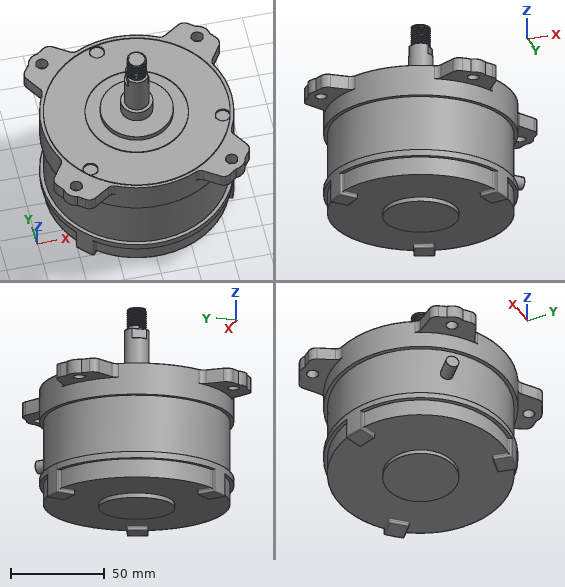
import cadquery as cq
import math

BODY_BOTTOM = 2.4
BAND_BOTTOM = 12.6
BAND_TOP = 16.1
HEAD_BOTTOM = 48.1
LUG_BOTTOM = 57.8
HEAD_TOP = 65.4
BOSS_TOP = 68.3
COLLAR_TOP = 75.1
FLATS_BOTTOM = 93.3
SHAFT_TOP = 98.6
THREAD_TOP = 110.5

BODY_RADIUS = 49.8
LOWER_RADIUS = 50.0
RECESS_RADIUS = 50.0
RIM_RADIUS = 51.9
REAR_BOSS_RADIUS = 20.3
BOSS_RADIUS = 19.6
COLLAR_RADIUS = 8.6
SHAFT_RADIUS = 6.6

RECESS_DEPTH = 0.5
PAD_RADIUS = 27.6
PIT_RADIUS = 4.0
PIT_DEPTH = 1.1
PIT_CENTRE_RADIUS = RECESS_RADIUS - PIT_RADIUS

LUG_ANGLES = (45, 135, 225, 315)
LUG_CORNER = (64.6, 12.3)
LUG_SIDE_SLOPE = math.radians(12)
LUG_TIP_SLOPE = math.radians(8)
LUG_ROOT = 44.2
LUG_CORNER_FILLET = 4.6
LUG_ROOT_FILLET = 3.8
LUG_HOLE_CENTRE = 60.1
LUG_HOLE_RADIUS = 3.2
LUG_BOSS_RADIUS = 7.2

FOOT_ANGLES = (105, 225, 345)
FOOT_WIDTH = 11.0
FOOT_INNER = 41.0
FOOT_EDGE_FILLET = 0.4
FOOT_ROOT_FILLET = 0.7

FLATS_WIDTH = 10.7
THREAD_RADIUS = 5.1
THREAD_LENGTH = 10.6
THREAD_TURNS = 8.5
THREAD_PITCH = THREAD_LENGTH / THREAD_TURNS
RUNOUT_TURNS = 3
THREAD_START_ANGLE = 180
THREAD_HALF_ANGLE = math.radians(30)
GROOVE_DEPTH_RATIO = 0.54
GROOVE_FLAT_RATIO = 0.25
GROOVE_OVERSHOOT = 0.05

MARGIN = 0.1

OUTLET_ANGLE = 45
OUTLET_RADIUS = 3.5
OUTLET_END = 61.0
OUTLET_HEIGHT = (BAND_TOP + HEAD_BOTTOM) / 2


def disc(radius, bottom, top):
    """Cylinder on the main axis."""
    return cq.Workplane("XY").workplane(offset=bottom).circle(radius).extrude(top - bottom)


def turn(shape, angle):
    """Rotate a shape about the main axis."""
    return shape.rotate((0, 0, 0), (0, 0, 1), angle)


def make_foot():
    """Radial foot along +X with a rounded outer face and softened edges."""
    length = RIM_RADIUS + MARGIN - FOOT_INNER
    block = (
        cq.Workplane("XY")
        .center(FOOT_INNER + length / 2, 0)
        .rect(length, FOOT_WIDTH)
        .extrude(BAND_TOP)
    )
    foot = block.intersect(disc(RIM_RADIUS, 0, BAND_TOP))
    return foot.edges("|Z or <Z").fillet(FOOT_EDGE_FILLET)


def make_lower_body():
    """Plain body below the head, with the feet blended into it."""
    body = disc(LOWER_RADIUS, BODY_BOTTOM, BAND_TOP)
    foot = make_foot()
    half_width = FOOT_WIDTH / 2 + MARGIN
    root_zone = cq.selectors.BoxSelector(
        (FOOT_INNER - MARGIN, -half_width, BODY_BOTTOM - MARGIN),
        (LOWER_RADIUS + MARGIN, half_width, BAND_TOP - MARGIN),
    )
    for angle in FOOT_ANGLES:
        footed = turn(body, -angle).union(foot)
        body = turn(footed.edges(root_zone).fillet(FOOT_ROOT_FILLET), angle)
    body = body.union(disc(RIM_RADIUS, BAND_BOTTOM, BAND_TOP))
    body = body.union(disc(BODY_RADIUS, BAND_TOP, HEAD_BOTTOM))
    return body.union(disc(REAR_BOSS_RADIUS, 0, BODY_BOTTOM))


def make_lug_plate():
    """Plate with four lugs, joined to the rim by concave fillets."""
    corner_x, corner_y = LUG_CORNER
    root_y = corner_y + (corner_x - LUG_ROOT) * math.tan(LUG_SIDE_SLOPE)
    tip_x = corner_x + corner_y * math.tan(LUG_TIP_SLOPE)
    outline = [
        (0, -root_y),
        (LUG_ROOT, -root_y),
        (corner_x, -corner_y),
        (tip_x, 0),
        (corner_x, corner_y),
        (LUG_ROOT, root_y),
        (0, root_y),
    ]
    thickness = HEAD_TOP - LUG_BOTTOM
    base = cq.Workplane("XY").workplane(offset=LUG_BOTTOM)
    lug = base.polyline(outline).close().extrude(thickness)
    corner_zone = cq.selectors.BoxSelector(
        (corner_x - MARGIN, -corner_y - MARGIN, LUG_BOTTOM),
        (corner_x + MARGIN, corner_y + MARGIN, HEAD_TOP),
    )
    lug = lug.edges(corner_zone).fillet(LUG_CORNER_FILLET)
    lug = lug.union(base.center(LUG_HOLE_CENTRE, 0).circle(LUG_BOSS_RADIUS).extrude(thickness))
    hole = base.center(LUG_HOLE_CENTRE, 0).circle(LUG_HOLE_RADIUS).extrude(thickness)

    plate = disc(RIM_RADIUS, LUG_BOTTOM, HEAD_TOP)
    root_zone = cq.selectors.BoxSelector(
        (LUG_ROOT, -root_y, LUG_BOTTOM),
        (RIM_RADIUS, root_y, HEAD_TOP),
    )
    for angle in LUG_ANGLES:
        lugged = turn(plate, -angle).union(lug)
        lugged = lugged.edges("|Z").edges(root_zone).fillet(LUG_ROOT_FILLET)
        plate = turn(lugged.cut(hole), angle)
    return plate


def make_head():
    """Rim and lug plate, recessed on top around a raised pad, with three pits."""
    head = make_lug_plate().union(disc(RIM_RADIUS, HEAD_BOTTOM, LUG_BOTTOM))
    floor = HEAD_TOP - RECESS_DEPTH
    head = head.cut(disc(RECESS_RADIUS, floor, HEAD_TOP))
    head = head.union(disc(PAD_RADIUS, floor, HEAD_TOP))
    pit = disc(PIT_RADIUS, floor - PIT_DEPTH, floor).translate((PIT_CENTRE_RADIUS, 0, 0))
    for angle in FOOT_ANGLES:
        head = head.cut(turn(pit, angle))
    return head.union(disc(BOSS_RADIUS, HEAD_TOP, BOSS_TOP))


def make_thread_groove():
    """Helical V groove, wider outside the thread so that it cuts cleanly."""
    depth = THREAD_PITCH * GROOVE_DEPTH_RATIO
    root_radius = THREAD_RADIUS - depth
    half_root = THREAD_PITCH * GROOVE_FLAT_RATIO / 2
    half_mouth = half_root + (depth + GROOVE_OVERSHOOT) * math.tan(THREAD_HALF_ANGLE)
    mouth_radius = THREAD_RADIUS + GROOVE_OVERSHOOT
    profile = cq.Workplane("XZ").polyline(
        [
            (root_radius, -half_root),
            (mouth_radius, -half_mouth),
            (mouth_radius, half_mouth),
            (root_radius, half_root),
        ]
    ).close()
    height = THREAD_LENGTH + THREAD_PITCH
    path = cq.Wire.makeHelix(THREAD_PITCH, height, THREAD_RADIUS)
    groove = profile.sweep(path, isFrenet=True)
    return turn(groove, THREAD_START_ANGLE).translate((0, 0, THREAD_TOP - THREAD_LENGTH))


def make_shaft():
    """Collar, shaft with two wrench flats and threaded end."""
    shaft = disc(SHAFT_RADIUS, COLLAR_TOP, SHAFT_TOP)
    flats = (
        cq.Workplane("XY")
        .workplane(offset=FLATS_BOTTOM)
        .rect(FLATS_WIDTH, 2 * SHAFT_RADIUS)
        .extrude(SHAFT_TOP - FLATS_BOTTOM)
    )
    shaft = shaft.intersect(flats.union(disc(SHAFT_RADIUS, COLLAR_TOP, FLATS_BOTTOM)))
    shaft = shaft.union(disc(COLLAR_RADIUS, BOSS_TOP, COLLAR_TOP))
    overlong_top = THREAD_TOP + RUNOUT_TURNS * THREAD_PITCH
    thread = disc(THREAD_RADIUS, SHAFT_TOP, overlong_top).cut(make_thread_groove())
    thread = thread.intersect(disc(SHAFT_RADIUS, SHAFT_TOP, THREAD_TOP))
    return shaft.union(thread)


def make_outlet():
    """Round stub pointing straight out from the body."""
    stub = cq.Workplane("YZ").center(0, OUTLET_HEIGHT).circle(OUTLET_RADIUS).extrude(OUTLET_END)
    return turn(stub, OUTLET_ANGLE)


result = make_lower_body().union(make_head()).union(make_outlet()).union(make_shaft())